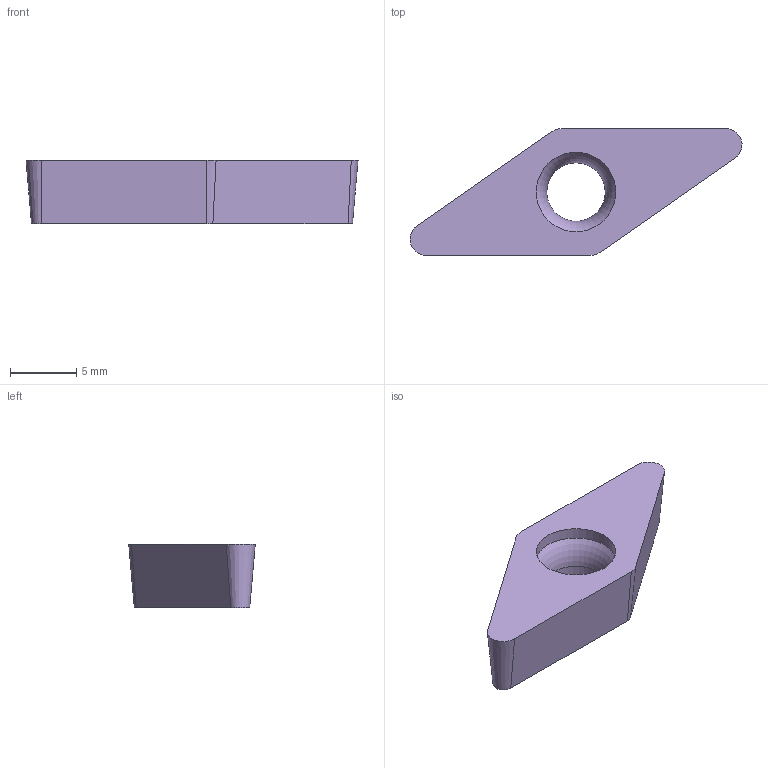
import cadquery as cq
import math

inscribed_diameter = 9.525
thickness = 4.76
nose_angle = math.radians(35)
corner_radius = 1.2
clearance_angle = 5

bore_radius = 2.2
seat_radius = 3.0
seat_wall_depth = 0.85
seat_arc_radius = 3.0


def rhombus_corners():
    """Sharp corners of the top face, centred on the origin with two sides along X."""
    half_height = inscribed_diameter / 2
    side = inscribed_diameter / math.sin(nose_angle)
    nose_x = side * (1 + math.cos(nose_angle)) / 2
    obtuse_x = side * (1 - math.cos(nose_angle)) / 2
    return [
        (-nose_x, -half_height),
        (obtuse_x, -half_height),
        (nose_x, half_height),
        (-obtuse_x, half_height),
    ]


def rounded_top_outline():
    """Top-face outline with the same radius on all four corners."""
    sharp = cq.Wire.makePolygon([cq.Vector(x, y, thickness) for x, y in rhombus_corners()], close=True)
    return sharp.fillet2D(corner_radius, sharp.Vertices())


def insert_body():
    """Insert tapered downward, so each corner is a cone narrowing toward the bottom."""
    return (
        cq.Workplane("XY", origin=(0, 0, thickness))
        .add(rounded_top_outline())
        .toPending()
        .extrude(-thickness, taper=clearance_angle)
    )


def screw_hole():
    """Through bore that flares along a convex arc into a short cylindrical recess."""
    arc_centre_radius = bore_radius + seat_arc_radius
    arc_height = math.sqrt(seat_arc_radius**2 - (arc_centre_radius - seat_radius) ** 2)
    arc_top_z = thickness - seat_wall_depth
    arc_bottom_z = arc_top_z - arc_height

    half_sweep = math.asin(arc_height / seat_arc_radius) / 2
    arc_middle = (
        arc_centre_radius - seat_arc_radius * math.cos(half_sweep),
        arc_bottom_z + seat_arc_radius * math.sin(half_sweep),
    )

    return (
        cq.Workplane("YZ")
        .lineTo(bore_radius, 0)
        .lineTo(bore_radius, arc_bottom_z)
        .threePointArc(arc_middle, (seat_radius, arc_top_z))
        .lineTo(seat_radius, thickness)
        .lineTo(0, thickness)
        .close()
        .revolve(360, (0, 0), (0, 1))
    )


result = insert_body().cut(screw_hole())